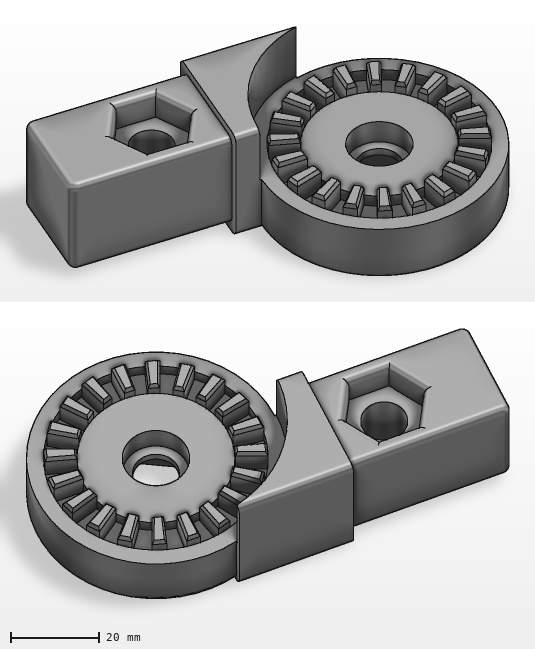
import cadquery as cq
import math

hub_radius = 29.3
hub_height = 15.0
edge_radius = 2.0
bolt_hole_diameter = 10.6
counterbore_diameter = 15.2
counterbore_depth = 6.1

nut_across_flats = 17.0
nut_pocket_depth = 7.0
corners_along_y = 30

groove_inner_radius = 17.8
groove_outer_radius = 25.4
groove_depth = 3.0
groove_floor_z = hub_height - groove_depth
tooth_count = 20
tooth_rise = 3.0
tooth_inner_width = 2.6
tooth_outer_width = 3.4
tooth_bevel_width = 0.5
tooth_bevel_height = 1.0

block_size = 30.0
block_back_y = -7.5
block_length = 28.2
block_front_y = block_back_y - block_length
turning_radius = 29.7

plug_size = 25.6
plug_length = 40.0
plug_center_x = -block_size / 2
plug_center_z = block_size / 2
plug_top_z = plug_center_z + plug_size / 2
plug_nut_setback = 14.1
plug_nut_y = block_front_y - plug_nut_setback


def cylinder(radius, height, center=(0, 0, 0)):
    """Upright cylinder standing on the given point."""
    return cq.Workplane("XY", origin=center).circle(radius).extrude(height)


def nut_prism(center, turn=0):
    """Hexagonal nut standing on the given point, with two corners along X before turning."""
    across_corners = nut_across_flats / math.cos(math.pi / 6)
    return (
        cq.Workplane("XY", origin=center)
        .transformed(rotate=(0, 0, turn))
        .polygon(6, across_corners)
        .extrude(nut_pocket_depth)
    )


def square_bar(size, length, back_y):
    """Square bar running forward (-Y) from back_y, with its long edges rounded."""
    return (
        cq.Workplane("XZ", origin=(plug_center_x, back_y, plug_center_z))
        .rect(size, size)
        .extrude(length)
        .edges("|Y")
        .fillet(edge_radius)
    )


def make_hub():
    """Plain disc with a rounded lower edge."""
    disc = cylinder(hub_radius, hub_height)
    return disc.faces("<Z").edges().fillet(edge_radius)


def make_shoulder():
    """Block hollowed above the hub face so that the mating hub can turn."""
    turning_space = cylinder(turning_radius, block_size, (0, 0, hub_height))
    return square_bar(block_size, block_length, block_back_y).cut(turning_space)


def make_plug():
    """Plug with rounded front edges, a nut pocket with a rounded rim and a bolt hole."""
    plug = square_bar(plug_size, plug_length, block_front_y)
    plug = plug.faces("<Y").edges().fillet(edge_radius)
    pocket_floor = (plug_center_x, plug_nut_y, plug_top_z - nut_pocket_depth)
    plug = plug.cut(nut_prism(pocket_floor, turn=corners_along_y))
    pocket_rim = plug.faces(">Z").val().innerWires()[0]
    plug = plug.newObject(pocket_rim.Edges()).fillet(edge_radius)
    return plug.cut(cylinder(bolt_hole_diameter / 2, block_size, (plug_center_x, plug_nut_y, 0)))


def make_groove():
    """Ring cut into the hub face around the teeth."""
    ring = cylinder(groove_outer_radius, groove_depth, (0, 0, groove_floor_z))
    return ring.cut(cylinder(groove_inner_radius, groove_depth, (0, 0, groove_floor_z)))


def make_hub_bore():
    """Bolt hole with a round counterbore above and a nut pocket below."""
    counterbore_floor = (0, 0, hub_height - counterbore_depth)
    return (
        cylinder(bolt_hole_diameter / 2, hub_height)
        .union(cylinder(counterbore_diameter / 2, counterbore_depth, counterbore_floor))
        .union(nut_prism((0, 0, 0)))
    )


def make_tooth():
    """Tooth beside the +Y axis, its left flank radial and its top edges bevelled."""
    outer_y = math.sqrt(groove_outer_radius**2 - tooth_outer_width**2)
    outline = [
        (0, groove_inner_radius),
        (0, outer_y),
        (tooth_outer_width, outer_y),
        (tooth_inner_width, groove_inner_radius),
    ]
    straight_height = groove_depth + tooth_rise - tooth_bevel_height
    bevel_angle = math.degrees(math.atan2(tooth_bevel_width, tooth_bevel_height))
    floor = cq.Workplane("XY", origin=(0, 0, groove_floor_z))
    shank = floor.polyline(outline).close().extrude(straight_height)
    crown = (
        floor.workplane(offset=straight_height)
        .polyline(outline)
        .close()
        .extrude(tooth_bevel_height, taper=bevel_angle)
    )
    return shank.union(crown)


result = make_hub().union(make_shoulder()).union(make_plug())
result = result.cut(make_groove()).cut(make_hub_bore())

tooth = make_tooth()
for index in range(tooth_count):
    angle = index * 360 / tooth_count
    result = result.union(tooth.rotate((0, 0, 0), (0, 0, 1), angle))